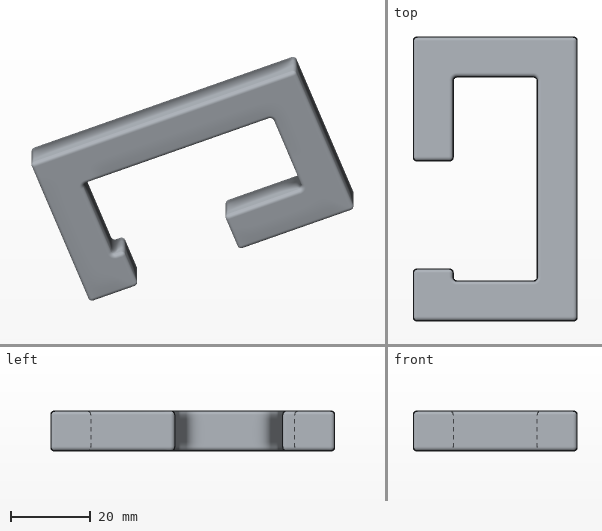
import cadquery as cq

opening_width = 21.0
opening_length = 51.0
wall = 10.0
thickness = 10.0
long_lip = 21.0
short_lip = 3.0
edge_radius = 1.0

outer_width = opening_width + 2 * wall
outer_length = opening_length + 2 * wall
mouth_length = opening_length - long_lip - short_lip
mouth_start = wall + short_lip


def corner_box(size_x, size_y, x, y):
    """Full-thickness box with its lowest corner at (x, y, 0)."""
    return cq.Workplane("XY").box(size_x, size_y, thickness, centered=False).translate((x, y, 0))


def make_clip():
    """Rectangular frame whose -X bar is interrupted by an open mouth."""
    block = corner_box(outer_width, outer_length, 0, 0)
    opening = corner_box(opening_width, opening_length, wall, wall)
    mouth = corner_box(wall, mouth_length, 0, mouth_start)
    return block.cut(opening).cut(mouth)


def round_edges(body):
    """Round the upright corners and both face rims together."""
    return body.edges().fillet(edge_radius)


result = round_edges(make_clip())